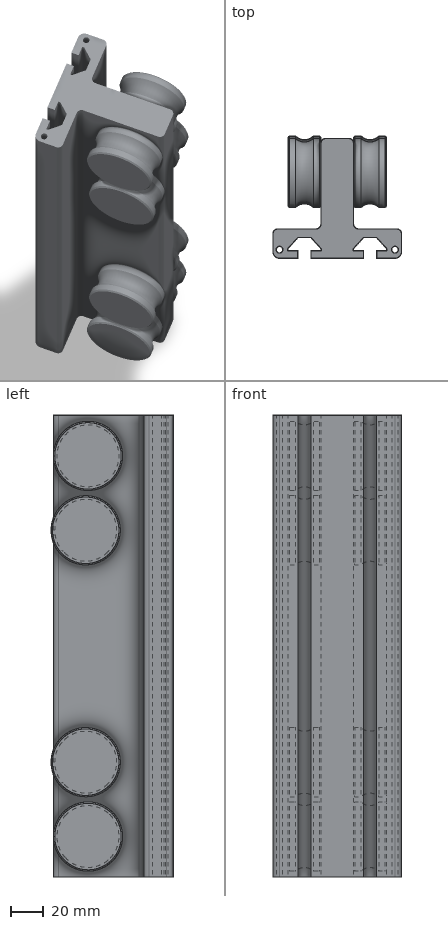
import cadquery as cq

rail_length = 280
rail_width = 78.0
flange_height = 18.0
stem_width = 20.0
stem_top = 72.8
round_radius = 3.0
front_corner_radius = 4.2

slot_spacing = 39.8
slot_opening = 7.8
slot_inner_width = 20.2
slot_lip = 4.8
slot_wall_height = 1.0
slot_depth = 12.5

bore_diameter = 4.0
bore_spacing = 70.0
bore_y = 5.3

roller_diameter = 42
roller_width = 20.0
roller_chamfer = 0.8
groove_width = 11.0
groove_depth = 2.2
outer_roller_y = 51.8
inner_roller_y = 53.2
outer_roller_z = 115.5
inner_roller_z = 70.3


def t_slot(center_x):
    """Cutter for one T-slot with sloping inner flanks."""
    half_opening = slot_opening / 2
    half_inner = slot_inner_width / 2
    wall_top = slot_lip + slot_wall_height
    return (
        cq.Workplane("XY", origin=(center_x, 0, -rail_length / 2))
        .moveTo(-half_opening, 0)
        .lineTo(half_opening, 0)
        .lineTo(half_opening, slot_lip)
        .lineTo(half_inner, slot_lip)
        .lineTo(half_inner, wall_top)
        .lineTo(half_opening, slot_depth)
        .lineTo(-half_opening, slot_depth)
        .lineTo(-half_inner, wall_top)
        .lineTo(-half_inner, slot_lip)
        .lineTo(-half_opening, slot_lip)
        .close()
        .extrude(rail_length)
    )


def make_rail():
    """T-section rail, centred on X and Z, with its front face at Y = 0."""
    flange = cq.Workplane("XY").box(
        rail_width, flange_height, rail_length, centered=(True, False, True)
    )
    stem = cq.Workplane("XY").box(
        stem_width, stem_top, rail_length, centered=(True, False, True)
    )
    body = flange.union(stem)
    body = body.edges("|Z and <Y").fillet(front_corner_radius)
    body = body.edges("|Z").edges(cq.selectors.BoxSelector(
        (-rail_width, flange_height / 2, -rail_length),
        (rail_width, stem_top + round_radius, rail_length),
    )).fillet(round_radius)

    for side in (-1, 1):
        body = body.cut(t_slot(side * slot_spacing / 2))
        bore = (
            cq.Workplane("XY", origin=(side * bore_spacing / 2, bore_y, -rail_length / 2))
            .circle(bore_diameter / 2)
            .extrude(rail_length)
        )
        body = body.cut(bore)
    return body


def make_roller(side, center_y, center_z):
    """Roller with its axis along X, resting against one side of the stem."""
    radius = roller_diameter / 2
    half_width = roller_width / 2
    half_groove = groove_width / 2
    center_x = side * (stem_width / 2 + half_width)
    return (
        cq.Workplane("XY", origin=(center_x, center_y, center_z))
        .moveTo(-half_width, 0)
        .lineTo(-half_width, radius - roller_chamfer)
        .lineTo(-half_width + roller_chamfer, radius)
        .lineTo(-half_groove, radius)
        .threePointArc((0, radius - groove_depth), (half_groove, radius))
        .lineTo(half_width - roller_chamfer, radius)
        .lineTo(half_width, radius - roller_chamfer)
        .lineTo(half_width, 0)
        .close()
        .revolve(360, (0, 0, 0), (1, 0, 0))
    )


rail = make_rail()

rollers = []
for side in (-1, 1):
    for end in (-1, 1):
        rollers.append(make_roller(side, outer_roller_y, end * outer_roller_z))
        rollers.append(make_roller(side, inner_roller_y, end * inner_roller_z))

result = cq.Compound.makeCompound([rail.val(), *[roller.val() for roller in rollers]])